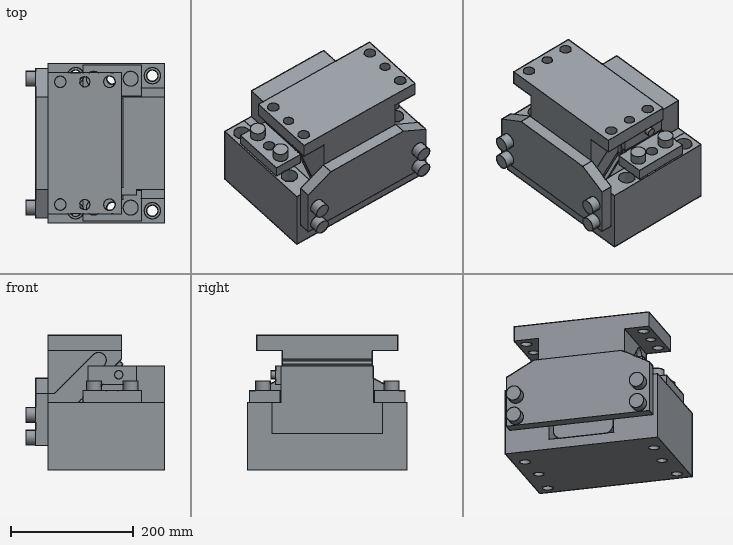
import cadquery as cq
import math

SIDES = (1, -1)

BASE_LENGTH = 190
BASE_WIDTH = 260
BASE_HEIGHT = 110.6
CHANNEL_WIDTH = 180
CHANNEL_FLOOR = 60
KEEL_SLOT_WIDTH = 110
KEEL_SLOT_FLOOR = 17
KEEL_SLOT_LENGTH = 170

MOUNT_X = (45, 170)
MOUNT_Y = 110
MOUNT_HOLE_D = 18
MOUNT_COUNTERBORE_D = 26.5
MOUNT_COUNTERBORE_DEPTH = 25

HEAD_D = 24.4
HEAD_HEIGHT = 16
HEAD_Y = 105

PLATE_THICKNESS = 20
PLATE_WIDTH = 244
PLATE_TOP_WIDTH = 150
PLATE_BOTTOM = 40
PLATE_SHOULDER = 125
PLATE_TOP = 150
PLATE_HEAD_Z = (53.3, 90.3)

CLAMP_LENGTH = 94.5
CLAMP_WIDTH = 50
CLAMP_THICKNESS = 19
CLAMP_CENTRE_X = 104.7
CLAMP_INNER_Y = 77
CLAMP_HEAD_SPACING = 60
CLAMP_DOWEL_D = 18.5
BASE_DOWEL_D = 17

SLIDE_TOP = 170
SLIDE_WIDTH = 150
SLIDE_RISE = 50.5
KEEL_WIDTH = 102
KEEL_BOTTOM = 20
KEEL_CORNER_R = 15

PAD_WIDTH = 145
PAD_RISE = 61
PAD_END_SUM = 295

STOP_START_X = 65
STOP_LENGTH = 79.5
STOP_BOTTOM = 139.8
STOP_THICKNESS = 9
PIN_X = 115.2
PIN_Z = 155.5
PIN_D = 13.5
PIN_LENGTH = 8

DRIVER_LENGTH = 120
DRIVER_TOP = 220
FLANGE_WIDTH = 230
FLANGE_THICKNESS = 25
STEM_WIDTH = 147
FLANGE_HOLE_X = 60
FLANGE_HOLE_Y = 100
FLANGE_SCREW_SPACING = 80
FLANGE_SCREW_D = 18.5
FLANGE_DOWEL_D = 16.5

RELIEF_DEPTH = 7.7
RELIEF_START_Z = 125
RELIEF_RISE = 114.5
RELIEF_FLOOR_RISE = 54.5
RELIEF_END_X = 82.5
RELIEF_END_R = 12.5
RELIEF_LIP_X = 65.3

HOOK_RISE = 81
HOOK_INNER_Y = -67


def box(x_range, y_range, z_range):
    """Axis-aligned block given by its limits along X, Y and Z."""
    lengths = [high - low for low, high in (x_range, y_range, z_range)]
    corner = (x_range[0], y_range[0], z_range[0])
    return cq.Workplane("XY").box(*lengths, centered=False).translate(corner)


def mid_box(x_range, width, z_range):
    """Block centred on the middle plane Y = 0."""
    return box(x_range, (-width / 2, width / 2), z_range)


def mid_prism(outline_xz, width):
    """XZ outline extruded to both sides of the middle plane Y = 0."""
    return cq.Workplane("XZ").polyline(outline_xz).close().extrude(width / 2, both=True)


def upright_cylinder(x, y, z_range, diameter):
    """Cylinder along Z, used for holes and screw heads."""
    low, high = z_range
    return cq.Workplane("XY", origin=(x, y, low)).circle(diameter / 2).extrude(high - low)


def make_front_plate():
    half, top_half = PLATE_WIDTH / 2, PLATE_TOP_WIDTH / 2
    outline = [
        (-half, PLATE_BOTTOM),
        (half, PLATE_BOTTOM),
        (half, PLATE_SHOULDER),
        (top_half, PLATE_TOP),
        (-top_half, PLATE_TOP),
        (-half, PLATE_SHOULDER),
    ]
    plate = cq.Workplane("YZ").polyline(outline).close().extrude(-PLATE_THICKNESS)
    head_centres = [(side * HEAD_Y, z) for side in SIDES for z in PLATE_HEAD_Z]
    heads = (
        cq.Workplane("YZ", origin=(-PLATE_THICKNESS, 0, 0))
        .pushPoints(head_centres).circle(HEAD_D / 2).extrude(-HEAD_HEIGHT)
    )
    return plate.union(heads)


def make_clamp(side):
    x_start = CLAMP_CENTRE_X - CLAMP_LENGTH / 2
    y_range = sorted((side * CLAMP_INNER_Y, side * (CLAMP_INNER_Y + CLAMP_WIDTH)))
    top = BASE_HEIGHT + CLAMP_THICKNESS
    clamp = box((x_start, x_start + CLAMP_LENGTH), y_range, (BASE_HEIGHT, top))
    for direction in (-1, 1):
        head_x = CLAMP_CENTRE_X + direction * CLAMP_HEAD_SPACING / 2
        clamp = clamp.union(upright_cylinder(head_x, side * HEAD_Y, (top, top + HEAD_HEIGHT), HEAD_D))
    return clamp.cut(upright_cylinder(CLAMP_CENTRE_X, side * HEAD_Y, (BASE_HEIGHT, top), CLAMP_DOWEL_D))


def make_base():
    x_range = (0, BASE_LENGTH)
    block = mid_box(x_range, BASE_WIDTH, (0, BASE_HEIGHT))
    block = block.cut(mid_box(x_range, CHANNEL_WIDTH, (CHANNEL_FLOOR, BASE_HEIGHT)))
    block = block.cut(mid_box((0, KEEL_SLOT_LENGTH), KEEL_SLOT_WIDTH, (KEEL_SLOT_FLOOR, CHANNEL_FLOOR)))
    counterbore = (BASE_HEIGHT - MOUNT_COUNTERBORE_DEPTH, BASE_HEIGHT)
    for side in SIDES:
        for x in MOUNT_X:
            block = block.cut(upright_cylinder(x, side * MOUNT_Y, (0, BASE_HEIGHT), MOUNT_HOLE_D))
            block = block.cut(upright_cylinder(x, side * MOUNT_Y, counterbore, MOUNT_COUNTERBORE_D))
        block = block.cut(upright_cylinder(CLAMP_CENTRE_X, side * HEAD_Y, (0, BASE_HEIGHT), BASE_DOWEL_D))
        block = block.union(make_clamp(side))
    return block.union(make_front_plate())


def make_relief():
    """Sloping slot with a rounded end, opened downward in front of the lip that stays below it."""
    end_x = RELIEF_END_X
    end_z = end_x + RELIEF_RISE - RELIEF_END_R * math.sqrt(2)
    diagonal = RELIEF_END_R / math.sqrt(2)
    slot_low_rise = end_z - end_x - RELIEF_END_R * math.sqrt(2)
    stem_side = -STEM_WIDTH / 2
    return (
        cq.Workplane("XZ", origin=(0, stem_side + RELIEF_DEPTH, 0))
        .moveTo(0, RELIEF_START_Z)
        .lineTo(RELIEF_START_Z - RELIEF_RISE, RELIEF_START_Z)
        .lineTo(end_x - diagonal, end_z + diagonal)
        .threePointArc((end_x + diagonal, end_z + diagonal), (end_x + diagonal, end_z - diagonal))
        .lineTo(RELIEF_LIP_X, RELIEF_LIP_X + slot_low_rise)
        .lineTo(RELIEF_LIP_X, RELIEF_LIP_X + RELIEF_FLOOR_RISE)
        .lineTo(0, RELIEF_FLOOR_RISE)
        .close()
        .extrude(RELIEF_DEPTH)
    )


def make_pad():
    """Sliding pad from the channel floor to its square upper end, rebated under the driver's relief."""
    def at_end(rise):
        return ((PAD_END_SUM - rise) / 2, (PAD_END_SUM + rise) / 2)

    outline = [
        (0, CHANNEL_FLOOR),
        (CHANNEL_FLOOR - SLIDE_RISE, CHANNEL_FLOOR),
        at_end(SLIDE_RISE),
        at_end(PAD_RISE),
        (0, PAD_RISE),
    ]
    return mid_prism(outline, PAD_WIDTH).cut(make_relief())


def make_slide():
    nose_x = CHANNEL_FLOOR - SLIDE_RISE
    body_outline = [
        (nose_x, CHANNEL_FLOOR),
        (BASE_LENGTH, CHANNEL_FLOOR),
        (BASE_LENGTH, SLIDE_TOP),
        (SLIDE_TOP - SLIDE_RISE, SLIDE_TOP),
    ]
    flange_outline = [
        (nose_x, CHANNEL_FLOOR),
        (BASE_LENGTH, CHANNEL_FLOOR),
        (BASE_LENGTH, BASE_HEIGHT),
        (BASE_HEIGHT - SLIDE_RISE, BASE_HEIGHT),
    ]
    keel = mid_box((nose_x, KEEL_SLOT_LENGTH), KEEL_WIDTH, (KEEL_BOTTOM, CHANNEL_FLOOR))
    keel = keel.faces("<Z").edges("|X").fillet(KEEL_CORNER_R)

    slide_side = -SLIDE_WIDTH / 2
    stop_side = slide_side - STOP_THICKNESS
    stop = box(
        (STOP_START_X, STOP_START_X + STOP_LENGTH), (stop_side, slide_side), (STOP_BOTTOM, SLIDE_TOP)
    )
    pin = (
        cq.Workplane("XZ", origin=(PIN_X, stop_side, PIN_Z))
        .circle(PIN_D / 2).extrude(PIN_LENGTH)
    )
    hook_outline = [
        (STOP_START_X, STOP_START_X + HOOK_RISE),
        (STOP_START_X, SLIDE_TOP),
        (SLIDE_TOP - HOOK_RISE, SLIDE_TOP),
    ]
    hook = (
        cq.Workplane("XZ", origin=(0, HOOK_INNER_Y, 0))
        .polyline(hook_outline).close().extrude(HOOK_INNER_Y - stop_side)
    )
    slide = mid_prism(body_outline, SLIDE_WIDTH)
    flange = mid_prism(flange_outline, CHANNEL_WIDTH)
    for piece in (flange, keel, make_pad(), stop, hook, pin):
        slide = slide.union(piece)
    return slide


def make_driver():
    flange_bottom = DRIVER_TOP - FLANGE_THICKNESS
    flange = mid_box((0, DRIVER_LENGTH), FLANGE_WIDTH, (flange_bottom, DRIVER_TOP))
    stem_outline = [
        (0, PAD_RISE),
        (DRIVER_LENGTH, DRIVER_LENGTH + PAD_RISE),
        (DRIVER_LENGTH, flange_bottom),
        (0, flange_bottom),
    ]
    stem = mid_prism(stem_outline, STEM_WIDTH)
    driver = flange.union(stem.cut(make_relief()))
    flange_range = (flange_bottom, DRIVER_TOP)
    for side in SIDES:
        y = side * FLANGE_HOLE_Y
        driver = driver.cut(upright_cylinder(FLANGE_HOLE_X, y, flange_range, FLANGE_DOWEL_D))
        for direction in (-1, 1):
            x = FLANGE_HOLE_X + direction * FLANGE_SCREW_SPACING / 2
            driver = driver.cut(upright_cylinder(x, y, flange_range, FLANGE_SCREW_D))
    return driver


base = make_base()
slide = make_slide()
driver = make_driver()
result = cq.Compound.makeCompound([base.val(), slide.val(), driver.val()])